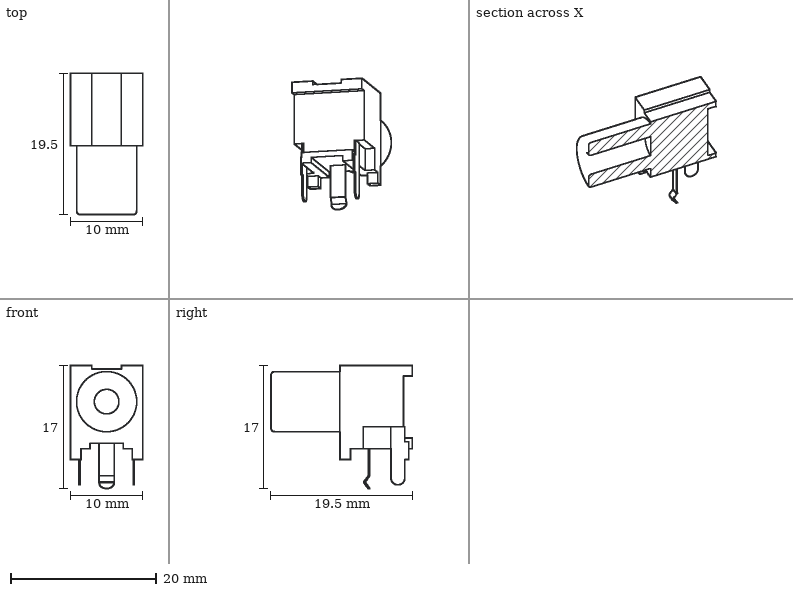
import cadquery as cq

body_width = 10.0
body_depth = 10.0
body_height = 13.0
step = 1.5
rear_recess = 1.2
lip_bottom = step
lip_top = lip_bottom + step
back_face = body_depth - rear_recess

top_groove_width = 4.05
top_groove_depth = 0.5
foot_gap = body_width - 2 * step
bottom_channel_width = 4.52
bottom_channel_roof = 2.25

overall_length = 19.5
barrel_diameter = 8.3
barrel_length = overall_length - body_depth
barrel_axis_height = 8.0
bore_diameter = 3.4
edge_radius = 0.5

sheet = 0.2
side_pocket_front = 3.24
side_pocket_top = 4.55
side_pocket_floor = 3.65
pin_front = 7.04
pin_width = 1.95
pin_tip = -3.5
shoulder_width = 0.55
shoulder_top = 2.48
leg_width = 2.1
leg_front = 3.92
leg_bend_height = -2.25
leg_elbow_height = -3.1
leg_elbow_flat = 0.15
leg_tip = -4.0
leg_elbow_offset = 0.6
leg_tip_rounding = 0.84


def block(width, y_start, y_end, z_start, z_end):
    """Box centred on x = 0 between the given y and z limits."""
    return (
        cq.Workplane("XY")
        .box(width, y_end - y_start, z_end - z_start, centered=(True, False, False))
        .translate((0, y_start, z_start))
    )


def make_housing():
    side_outline = [
        (0, 0),
        (step, 0),
        (step, lip_bottom),
        (body_depth, lip_bottom),
        (body_depth, lip_top),
        (back_face, lip_top),
        (back_face, body_height - step),
        (body_depth, body_height - step),
        (body_depth, body_height),
        (0, body_height),
    ]
    housing = cq.Workplane("YZ").polyline(side_outline).close().extrude(body_width / 2, both=True)
    housing = housing.cut(block(top_groove_width, 0, body_depth, body_height - top_groove_depth, body_height))
    housing = housing.cut(block(foot_gap, 0, step, 0, step))
    housing = housing.cut(block(bottom_channel_width, 0, body_depth, 0, bottom_channel_roof))

    pocket_span = block(body_width, side_pocket_front, body_depth, 0, side_pocket_top)
    pocket_core = block(2 * side_pocket_floor, side_pocket_front, body_depth, 0, side_pocket_top)
    return housing.cut(pocket_span.cut(pocket_core))


def make_barrel():
    barrel = (
        cq.Workplane("XZ", origin=(0, 0, barrel_axis_height))
        .circle(barrel_diameter / 2)
        .extrude(barrel_length)
        .faces("<Y")
        .workplane()
        .hole(bore_diameter, barrel_length)
    )
    return barrel.faces("<Y").edges().fillet(edge_radius)


def make_side_pin(inner_x):
    """Flat pin with a rounded tip and a rear shoulder, lying on a pocket floor."""
    pin_back = pin_front + pin_width
    pin_radius = pin_width / 2
    shoulder_back = pin_back + shoulder_width
    return (
        cq.Workplane("YZ", origin=(inner_x, 0, 0))
        .moveTo(pin_front, side_pocket_top)
        .lineTo(pin_front, pin_tip + pin_radius)
        .threePointArc((pin_front + pin_radius, pin_tip), (pin_back, pin_tip + pin_radius))
        .lineTo(pin_back, 0)
        .lineTo(shoulder_back, 0)
        .lineTo(shoulder_back, shoulder_top)
        .lineTo(pin_back, shoulder_top)
        .lineTo(pin_back, side_pocket_top)
        .close()
        .extrude(sheet)
    )


def make_center_leg():
    """Strip kinked forward near its end, with a rounded tip."""
    leg_back = leg_front + sheet
    elbow_front = leg_front - leg_elbow_offset
    kinked_outline = [
        (leg_front, bottom_channel_roof),
        (leg_front, leg_bend_height),
        (elbow_front, leg_elbow_height + leg_elbow_flat / 2),
        (elbow_front, leg_elbow_height - leg_elbow_flat / 2),
        (leg_front, leg_tip),
        (leg_back, leg_tip),
        (elbow_front + sheet, leg_elbow_height),
        (leg_back, leg_bend_height),
        (leg_back, bottom_channel_roof),
    ]
    strip = cq.Workplane("YZ").polyline(kinked_outline).close().extrude(leg_width / 2, both=True)

    rounding_height = leg_tip + leg_tip_rounding
    straight_part = block(leg_width, 0, body_depth, rounding_height, bottom_channel_roof)
    rounded_part = (
        cq.Workplane("XZ", origin=(0, 0, rounding_height))
        .ellipse(leg_width / 2, leg_tip_rounding)
        .extrude(-body_depth)
    )
    return strip.intersect(straight_part.union(rounded_part))


result = make_housing().union(make_barrel()).union(make_center_leg())
for pin_inner_x in (-side_pocket_floor - sheet, side_pocket_floor):
    result = result.union(make_side_pin(pin_inner_x))